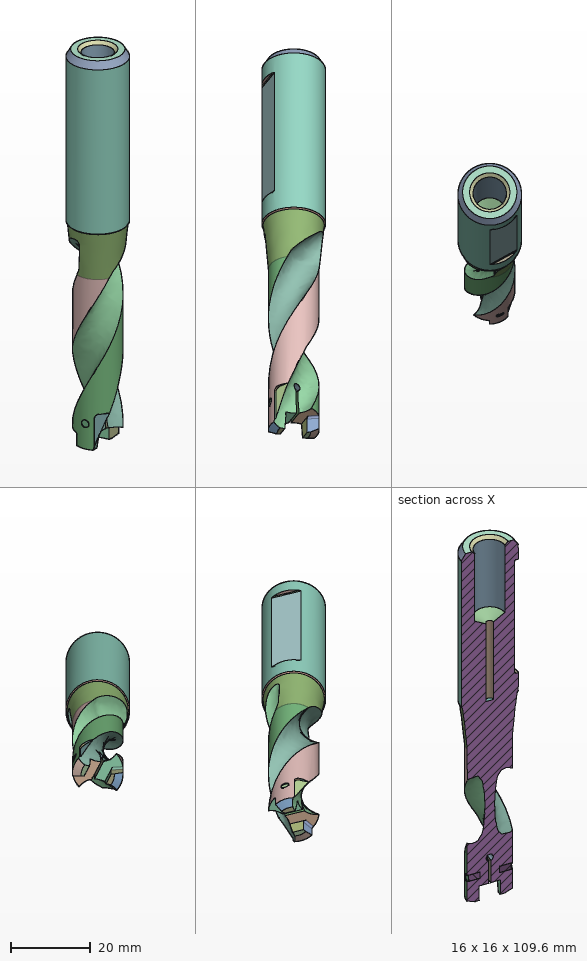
import cadquery as cq
import math

LENGTH = 109.6
SHANK_DIAMETER = 16.0
SHANK_BOTTOM = 61.6
SHANK_CHAMFER_HEIGHT = 2.0
SHANK_TOP_RADIUS = 6.8
SHANK_BOTTOM_CHAMFER = 0.3

NECK_TOP_RADIUS = 7.7
NECK_BOTTOM = 48.5
SHAFT_DIAMETER = 12.7

FLAT_DEPTH = 1.0
FLAT_BOTTOM = 67.8
FLAT_TOP = 103.1
FLAT_END_CHAMFER = 0.2

BORE_RADIUS = 4.2
BORE_CHAMFER = 0.9
BORE_DEPTH = 21.9
DRILL_POINT_ANGLE = 118.0
COOLANT_RADIUS = 1.0

FLUTE_LEAD = 70.2
FLUTE_LEVEL = 46.4
FLUTE_CENTRE_RADIUS = 7.0
FLUTE_RADIUS = 5.6
FLUTE_RUNOUT = 50.4
FLUTE_TOP = 59.9
FLUTE_TOP_RADIUS = 3.7
FLUTE_TOP_CENTRE_RADIUS = 11.5
FLUTE_OUTER_RADIUS = 7.9
FLUTE_FOOT = 21.9
FLUTE_FOOT_RADIUS = 4.5
FLUTE_FOOT_LEAD = 18.0
FLUTE_STEP = 1.6
FLUTE_OVERRUN = 2.2

SEAT_HEIGHT = 4.5
SEAT_WIDTH = 5.8
TANG_HALF_ANGLE = 30.5
TANG_FILLET = 0.5
TIP_CHAMFER_HEIGHT = 0.9
TIP_RADIUS = 4.2

RELIEF_SIDE = 1.9
RELIEF_START = 5.7
RELIEF_SLOPE = 30.0
RELIEF_TOP = 11.0
RELIEF_CORNER_RADIUS = 1.3

SLIT_WIDTH = 0.5
SLIT_HOLE_DIAMETER = 1.9
SLIT_HOLE_HEIGHT = 12.5

PIN_DIAMETER = 2.1
PIN_OFFSET = 0.5
PIN_HEIGHT = 7.9
PIN_INNER = 2.7
PIN_OUTER = 6.0

SHANK_RADIUS = SHANK_DIAMETER / 2
SHAFT_RADIUS = SHAFT_DIAMETER / 2
HALF_TURNS = (0, 180)


def half_turn(body, angle):
    """Copy of a body turned about Z, used with the angles in HALF_TURNS."""
    return body.rotate((0, 0, 0), (0, 0, 1), angle)


def turned_blank():
    """Shank, neck, shaft and conical tip as one turned solid."""
    return (
        cq.Workplane("XZ")
        .moveTo(0, 0)
        .lineTo(TIP_RADIUS, 0)
        .lineTo(SHAFT_RADIUS, TIP_CHAMFER_HEIGHT)
        .lineTo(SHAFT_RADIUS, NECK_BOTTOM)
        .lineTo(NECK_TOP_RADIUS, SHANK_BOTTOM)
        .lineTo(SHANK_RADIUS, SHANK_BOTTOM + SHANK_BOTTOM_CHAMFER)
        .lineTo(SHANK_RADIUS, LENGTH - SHANK_CHAMFER_HEIGHT)
        .lineTo(SHANK_TOP_RADIUS, LENGTH)
        .lineTo(0, LENGTH)
        .close()
        .revolve(360, (0, 0, 0), (0, 1, 0))
    )


def bore():
    """Chamfered blind bore with a drill-point floor and a thin coolant hole below it."""
    floor = LENGTH - BORE_DEPTH
    point_slope = math.tan(math.radians(DRILL_POINT_ANGLE / 2))
    point_end = floor - (BORE_RADIUS - COOLANT_RADIUS) / point_slope
    return (
        cq.Workplane("XZ")
        .moveTo(0, SHANK_BOTTOM)
        .lineTo(COOLANT_RADIUS, SHANK_BOTTOM)
        .lineTo(COOLANT_RADIUS, point_end)
        .lineTo(BORE_RADIUS, floor)
        .lineTo(BORE_RADIUS, LENGTH - BORE_CHAMFER)
        .lineTo(BORE_RADIUS + BORE_CHAMFER, LENGTH)
        .lineTo(0, LENGTH)
        .close()
        .revolve(360, (0, 0, 0), (0, 1, 0))
    )


def shank_flat():
    """Cutter for the flat on the +Y side of the shank, with sloped ends."""
    floor = SHANK_RADIUS - FLAT_DEPTH
    return (
        cq.Workplane("YZ")
        .moveTo(floor, FLAT_BOTTOM + FLAT_END_CHAMFER)
        .lineTo(floor + FLAT_END_CHAMFER, FLAT_BOTTOM)
        .lineTo(SHANK_DIAMETER, FLAT_BOTTOM)
        .lineTo(SHANK_DIAMETER, FLAT_TOP)
        .lineTo(floor + FLAT_END_CHAMFER, FLAT_TOP)
        .lineTo(floor, FLAT_TOP - FLAT_END_CHAMFER)
        .close()
        .extrude(SHANK_RADIUS, both=True)
    )


def polar_point(radius, angle, z):
    """Point at a radius and angle (radians) about Z."""
    return cq.Vector(radius * math.cos(angle), radius * math.sin(angle), z)


def flute_section(z):
    """Lens at height z: the round groove on the inside, the cutter's outer limit on the outside."""
    runout = max(0.0, (z - FLUTE_RUNOUT) / (FLUTE_TOP - FLUTE_RUNOUT))
    foot = max(0.0, (FLUTE_FOOT - z) / FLUTE_FOOT)
    turn = 360 * (z - FLUTE_LEVEL) / FLUTE_LEAD + FLUTE_FOOT_LEAD * foot
    angle = math.radians(180 + turn)
    radius = (
        FLUTE_RADIUS
        + (FLUTE_TOP_RADIUS - FLUTE_RADIUS) * runout
        + (FLUTE_FOOT_RADIUS - FLUTE_RADIUS) * foot
    )
    reach = FLUTE_CENTRE_RADIUS + (FLUTE_TOP_CENTRE_RADIUS - FLUTE_CENTRE_RADIUS) * runout
    crossing = (FLUTE_OUTER_RADIUS**2 + reach**2 - radius**2) / (2 * FLUTE_OUTER_RADIUS * reach)
    half_angle = math.acos(crossing)
    start = polar_point(FLUTE_OUTER_RADIUS, angle - half_angle, z)
    end = polar_point(FLUTE_OUTER_RADIUS, angle + half_angle, z)
    groove_arc = cq.Edge.makeThreePointArc(start, polar_point(reach - radius, angle, z), end)
    outer_arc = cq.Edge.makeThreePointArc(end, polar_point(FLUTE_OUTER_RADIUS, angle, z), start)
    return cq.Wire.assembleEdges([groove_arc, outer_arc])


def flute():
    """Groove lofted through lens sections along the helix."""
    count = math.ceil((FLUTE_TOP + FLUTE_OVERRUN) / FLUTE_STEP)
    step = (FLUTE_TOP + FLUTE_OVERRUN) / count
    sections = [flute_section(i * step - FLUTE_OVERRUN) for i in range(count + 1)]
    return cq.Workplane(cq.Solid.makeLoft(sections))


def insert_slot():
    """Slot along X that holds the insert."""
    return cq.Workplane().box(SHANK_DIAMETER, SEAT_WIDTH, SEAT_HEIGHT, centered=(True, True, False))


def tang_side():
    """Cutter on the +X side that leaves radial tang sides, rounded where they meet the seat."""
    half_width = SHANK_RADIUS / math.tan(math.radians(TANG_HALF_ANGLE))
    return (
        cq.Workplane()
        .polyline([(0, 0), (SHANK_RADIUS, -half_width), (SHANK_RADIUS, half_width)])
        .close()
        .extrude(SEAT_HEIGHT)
        .faces(">Z")
        .edges("not |Y")
        .fillet(TANG_FILLET)
    )


def land_relief():
    """Cutter for the shallow relief in the -Y land, with one rounded upper corner."""
    far = RELIEF_SIDE + SHANK_RADIUS
    far_floor = RELIEF_START - SHANK_RADIUS * math.tan(math.radians(RELIEF_SLOPE))
    return (
        cq.Workplane()
        .moveTo(RELIEF_SIDE, -SHANK_RADIUS)
        .lineTo(RELIEF_SIDE, -RELIEF_START)
        .lineTo(far, -far_floor)
        .lineTo(far, -SHANK_RADIUS)
        .close()
        .extrude(RELIEF_TOP)
        .edges("<X and >Z")
        .fillet(RELIEF_CORNER_RADIUS)
    )


def clamping_slit():
    """Slit through the web along X, ending in a round relief hole."""
    slit = cq.Workplane().box(SHANK_DIAMETER, SLIT_WIDTH, SLIT_HOLE_HEIGHT, centered=(True, True, False))
    relief = (
        cq.Workplane("YZ")
        .center(0, SLIT_HOLE_HEIGHT)
        .circle(SLIT_HOLE_DIAMETER / 2)
        .extrude(SHANK_RADIUS, both=True)
    )
    return slit.union(relief)


def pin_cylinder(outer_end):
    """Cylinder along -Y from the pin's inner end to the given distance from the axis."""
    return (
        cq.Workplane("XZ", origin=(-PIN_OFFSET, -PIN_INNER, PIN_HEIGHT))
        .circle(PIN_DIAMETER / 2)
        .extrude(outer_end - PIN_INNER)
    )


def drill_body():
    """Complete drill; every feature beside a flute is repeated half a turn away."""
    body = turned_blank().cut(bore()).cut(shank_flat())
    for angle in HALF_TURNS:
        body = body.cut(half_turn(flute(), angle))
        body = body.cut(half_turn(tang_side(), angle))
        body = body.cut(half_turn(land_relief(), angle))
        body = body.cut(half_turn(pin_cylinder(SHANK_RADIUS), angle))
    return body.cut(insert_slot()).cut(clamping_slit())


def cross_pin(angle):
    """Pin seated just below the surface of one land."""
    return half_turn(pin_cylinder(PIN_OUTER), angle)


drill = drill_body()
pins = [cross_pin(angle) for angle in HALF_TURNS]

result = cq.Compound.makeCompound([drill.val(), *[pin.val() for pin in pins]])